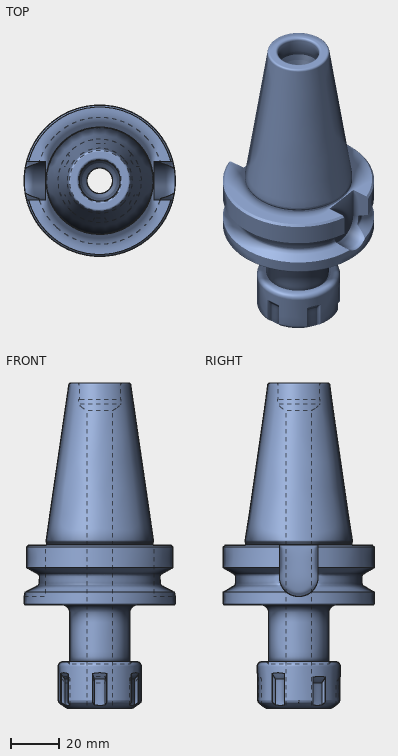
import cadquery as cq
import math

TOTAL_HEIGHT = 135.4

TAPER_RATIO = 7 / 24
GAUGE_RADIUS = 22.3
GAUGE_Z = 70.0
TAPER_TIP_FILLET = 1.0
GAUGE_BAND_HEIGHT = 0.7
RELIEF_RADIUS = 22.1
RELIEF_Z = 68.5

FLANGE_DIAMETER = 63.0
FLANGE_RADIUS = FLANGE_DIAMETER / 2
FLANGE_TOP_Z = 68.0
FLANGE_BOTTOM_Z = 43.0
FLANGE_TOP_CHAMFER = 0.8
FLANGE_BOTTOM_FILLET = 0.8
GROOVE_RADIUS = 26.4
GROOVE_CENTER_Z = 53.5
GROOVE_FLOOR_WIDTH = 4.3
GROOVE_FLANK_ANGLE = 30.0
GROOVE_FILLET = 1.0

KEYWAY_WIDTH = 16.1
KEYWAY_FLOOR_X = 22.6
KEYWAY_BOTTOM_Z = 46.6

STEM_RADIUS = 12.6
STEM_FILLET = 3.0

NUT_RADIUS = 17.3
NUT_TOP_Z = 19.5
NUT_TOP_FILLET = 2.0
NUT_BORE_CHAMFER = 1.0
NUT_FACE_RADIUS = 13.5
NUT_FACE_ANGLE = 35.0
NUT_FACE_FILLET = 2.6
NUT_RIM_FILLET = 1.5

SLOT_COUNT = 6
SLOT_START_ANGLE = 30.0
SLOT_FLOOR_RADIUS = 15.5
SLOT_FLOOR_WIDTH = 4.3
SLOT_WALL_WIDTH = 5.8
SLOT_WALL_DEPTH = 1.4
SLOT_EDGE_ROUND = 0.5
SLOT_RAMP_HEIGHT = 2.7
SLOT_CORNER_FILLET = 1.1
TALL_SLOT_FLOOR_Z = 12.2
SHORT_SLOT_FLOOR_Z = 10.7

BORE_RADIUS = 5.3
SHOULDER_RADIUS = 7.3
COUNTERBORE_RADIUS = 8.5
COUNTERBORE_FLOOR_Z = 128.5
COUNTERBORE_FILLET = 1.1
UNDERCUT_RADIUS = 9.0
UNDERCUT_LENGTH = 1.8
DRILL_POINT_ANGLE = 118.0

TOLERANCE = 0.01
CLEARANCE = 1.4


def round_circle(body, radius, z, fillet_radius):
    """Fillet the circular edge of the given radius at height z."""
    reach = radius + TOLERANCE
    level = cq.selectors.BoxSelector((-reach, -reach, z - TOLERANCE), (reach, reach, z + TOLERANCE))
    return body.edges(level).edges(cq.selectors.RadiusNthSelector(-1)).fillet(fillet_radius)


def make_shank_and_flange():
    """Taper, gauge band, relief, grooved flange and stem as one revolved body."""
    tip_radius = GAUGE_RADIUS - (TOTAL_HEIGHT - GAUGE_Z) * TAPER_RATIO / 2
    flank_height = (FLANGE_RADIUS - GROOVE_RADIUS) * math.tan(math.radians(GROOVE_FLANK_ANGLE))
    groove_top = GROOVE_CENTER_Z + GROOVE_FLOOR_WIDTH / 2
    groove_bottom = GROOVE_CENTER_Z - GROOVE_FLOOR_WIDTH / 2
    fillet_mid = STEM_FILLET * (1 - math.sqrt(0.5))
    body = (
        cq.Workplane("XZ")
        .moveTo(0, 0)
        .lineTo(0, TOTAL_HEIGHT)
        .lineTo(tip_radius, TOTAL_HEIGHT)
        .lineTo(GAUGE_RADIUS, GAUGE_Z)
        .lineTo(GAUGE_RADIUS, GAUGE_Z - GAUGE_BAND_HEIGHT)
        .lineTo(RELIEF_RADIUS, RELIEF_Z)
        .lineTo(GAUGE_RADIUS, FLANGE_TOP_Z)
        .lineTo(FLANGE_RADIUS - FLANGE_TOP_CHAMFER, FLANGE_TOP_Z)
        .lineTo(FLANGE_RADIUS, FLANGE_TOP_Z - FLANGE_TOP_CHAMFER)
        .lineTo(FLANGE_RADIUS, groove_top + flank_height)
        .lineTo(GROOVE_RADIUS, groove_top)
        .lineTo(GROOVE_RADIUS, groove_bottom)
        .lineTo(FLANGE_RADIUS, groove_bottom - flank_height)
        .lineTo(FLANGE_RADIUS, FLANGE_BOTTOM_Z)
        .lineTo(STEM_RADIUS + STEM_FILLET, FLANGE_BOTTOM_Z)
        .threePointArc(
            (STEM_RADIUS + fillet_mid, FLANGE_BOTTOM_Z - fillet_mid),
            (STEM_RADIUS, FLANGE_BOTTOM_Z - STEM_FILLET),
        )
        .lineTo(STEM_RADIUS, 0)
        .close()
        .revolve(360, (0, 0, 0), (0, 1, 0))
    )
    for z in (groove_bottom, groove_top):
        body = round_circle(body, GROOVE_RADIUS, z, GROOVE_FILLET)
    body = round_circle(body, FLANGE_RADIUS, FLANGE_BOTTOM_Z, FLANGE_BOTTOM_FILLET)
    return round_circle(body, tip_radius, TOTAL_HEIGHT, TAPER_TIP_FILLET)


def make_nut():
    """Round nut with a conical face, rounded edges and a countersunk rear bore."""
    face_height = (NUT_RADIUS - NUT_FACE_RADIUS) * math.tan(math.radians(NUT_FACE_ANGLE))
    nut = (
        cq.Workplane("XZ")
        .moveTo(0, 0)
        .lineTo(NUT_FACE_RADIUS, 0)
        .lineTo(NUT_RADIUS, face_height)
        .lineTo(NUT_RADIUS, NUT_TOP_Z)
        .lineTo(STEM_RADIUS + NUT_BORE_CHAMFER, NUT_TOP_Z)
        .lineTo(STEM_RADIUS, NUT_TOP_Z - NUT_BORE_CHAMFER)
        .lineTo(0, NUT_TOP_Z - NUT_BORE_CHAMFER)
        .close()
        .revolve(360, (0, 0, 0), (0, 1, 0))
    )
    nut = round_circle(nut, NUT_FACE_RADIUS, 0, NUT_FACE_FILLET)
    nut = round_circle(nut, NUT_RADIUS, face_height, NUT_RIM_FILLET)
    return round_circle(nut, NUT_RADIUS, NUT_TOP_Z, NUT_TOP_FILLET)


def make_slot_cutter(floor_top_z):
    """Wrench slot on the +X side: tapered walls with rounded rims, ended by a ramp at the top."""
    outer_radius = NUT_RADIUS + CLEARANCE
    ramp_slope = SLOT_RAMP_HEIGHT / (NUT_RADIUS - SLOT_FLOOR_RADIUS)
    ramp_top_z = floor_top_z + ramp_slope * (outer_radius - SLOT_FLOOR_RADIUS)
    floor_half = SLOT_FLOOR_WIDTH / 2
    wall_half = SLOT_WALL_WIDTH / 2
    mouth_half = wall_half + SLOT_EDGE_ROUND
    wall_radius = SLOT_FLOOR_RADIUS + SLOT_WALL_DEPTH
    mouth_radius = wall_radius + SLOT_EDGE_ROUND

    channel = (
        cq.Workplane("XY", origin=(0, 0, -CLEARANCE))
        .moveTo(SLOT_FLOOR_RADIUS, -floor_half)
        .lineTo(SLOT_FLOOR_RADIUS, floor_half)
        .lineTo(wall_radius, wall_half)
        .radiusArc((mouth_radius, mouth_half), -SLOT_EDGE_ROUND)
        .lineTo(outer_radius, mouth_half)
        .lineTo(outer_radius, -mouth_half)
        .lineTo(mouth_radius, -mouth_half)
        .radiusArc((wall_radius, -wall_half), -SLOT_EDGE_ROUND)
        .close()
        .extrude(ramp_top_z + CLEARANCE)
    )
    ramp = (
        cq.Workplane("XZ")
        .moveTo(SLOT_FLOOR_RADIUS, -CLEARANCE)
        .lineTo(SLOT_FLOOR_RADIUS, floor_top_z)
        .lineTo(outer_radius, ramp_top_z)
        .lineTo(outer_radius, -CLEARANCE)
        .close()
        .extrude(mouth_half, both=True)
    )
    mouth_top_z = floor_top_z + SLOT_RAMP_HEIGHT
    mouth = (
        cq.Workplane("YZ")
        .rect(2 * mouth_half, 2 * mouth_top_z)
        .extrude(outer_radius)
        .edges("|X and >Z")
        .fillet(SLOT_CORNER_FILLET)
    )
    return channel.intersect(ramp).intersect(mouth)


def cut_wrench_slots(nut):
    """Evenly spaced slots, those on the -Y half reaching higher than those on the +Y half."""
    for index in range(SLOT_COUNT):
        angle = SLOT_START_ANGLE + index * 360 / SLOT_COUNT
        on_front_half = math.sin(math.radians(angle)) < 0
        floor_top_z = TALL_SLOT_FLOOR_Z if on_front_half else SHORT_SLOT_FLOOR_Z
        nut = nut.cut(make_slot_cutter(floor_top_z).rotate((0, 0, 0), (0, 0, 1), angle))
    return nut


def make_keyway_cutter(side):
    """Round-bottomed drive keyway; side is -1 or +1 along X."""
    radius = KEYWAY_WIDTH / 2
    center_z = KEYWAY_BOTTOM_Z + radius
    depth = FLANGE_RADIUS + CLEARANCE - KEYWAY_FLOOR_X
    return (
        cq.Workplane("YZ", origin=(side * KEYWAY_FLOOR_X, 0, 0))
        .moveTo(-radius, FLANGE_TOP_Z + CLEARANCE)
        .lineTo(-radius, center_z)
        .threePointArc((0, KEYWAY_BOTTOM_Z), (radius, center_z))
        .lineTo(radius, FLANGE_TOP_Z + CLEARANCE)
        .close()
        .extrude(side * depth)
    )


def make_bore_cutter():
    """Through bore with an undercut counterbore at the taper tip and two conical shoulders."""
    undercut_bottom_z = COUNTERBORE_FLOOR_Z - UNDERCUT_LENGTH
    shoulder_z = undercut_bottom_z - (UNDERCUT_RADIUS - SHOULDER_RADIUS)
    drill_slope = math.tan(math.radians(DRILL_POINT_ANGLE / 2))
    bore_top_z = shoulder_z - (SHOULDER_RADIUS - BORE_RADIUS) / drill_slope
    fillet_mid = COUNTERBORE_FILLET * (1 - math.sqrt(0.5))
    return (
        cq.Workplane("XZ")
        .moveTo(0, -CLEARANCE)
        .lineTo(BORE_RADIUS, -CLEARANCE)
        .lineTo(BORE_RADIUS, bore_top_z)
        .lineTo(SHOULDER_RADIUS, shoulder_z)
        .lineTo(UNDERCUT_RADIUS, undercut_bottom_z)
        .lineTo(UNDERCUT_RADIUS, COUNTERBORE_FLOOR_Z)
        .lineTo(COUNTERBORE_RADIUS, COUNTERBORE_FLOOR_Z)
        .lineTo(COUNTERBORE_RADIUS, TOTAL_HEIGHT - COUNTERBORE_FILLET)
        .threePointArc(
            (COUNTERBORE_RADIUS + fillet_mid, TOTAL_HEIGHT - fillet_mid),
            (COUNTERBORE_RADIUS + COUNTERBORE_FILLET, TOTAL_HEIGHT),
        )
        .lineTo(0, TOTAL_HEIGHT)
        .close()
        .revolve(360, (0, 0, 0), (0, 1, 0))
    )


holder = make_shank_and_flange()
for side in (-1, 1):
    holder = holder.cut(make_keyway_cutter(side))
nut = cut_wrench_slots(make_nut())
result = holder.union(nut).cut(make_bore_cutter())